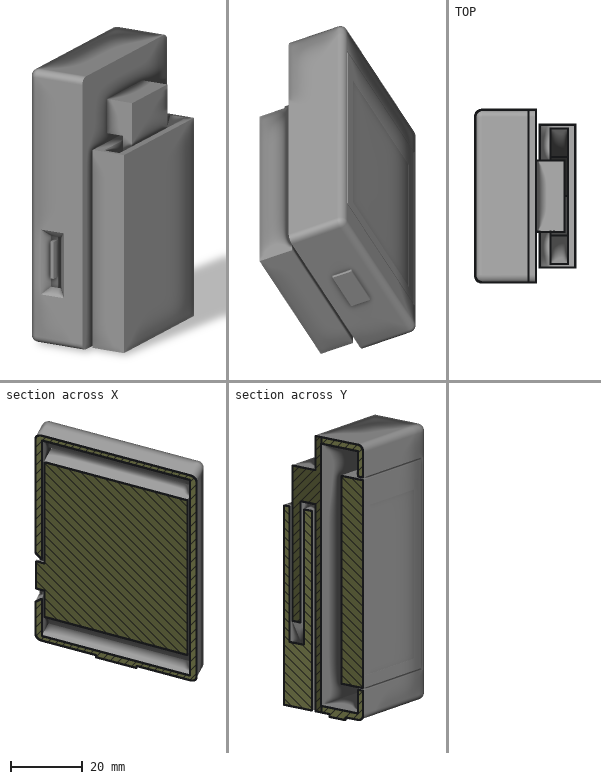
import cadquery as cq
import math


CASE_WIDTH = 48.3
CASE_HEIGHT = 79.95
HOUSING_DEPTH = 14.9
COVER_THICKNESS = 2.1
EDGE_RADIUS = 2.0
WALL = 2.0

WINDOW_BOTTOM = 8.9
WINDOW_TOP = 70.6

PANEL_GAP = 0.65
PANEL_BOTTOM = WINDOW_BOTTOM + PANEL_GAP
PANEL_TOP = WINDOW_TOP - PANEL_GAP
PANEL_DEPTH = 7.75
ACTIVE_WIDTH = 36.5
ACTIVE_BOTTOM = 13.0
ACTIVE_TOP = 62.0
ACTIVE_RECESS = 0.1
SOCKET_THICKNESS = 1.05
SOCKET_BOTTOM = 19.7
SOCKET_TOP = 30.5
SOCKET_REACH = 2.5

TAB_WIDTH = 12.3
TAB_FRONT = 6.2
TAB_BACK = 12.0
TAB_DROP = 0.8

OPENING_FRONT = 3.8
OPENING_BACK = 11.1
OPENING_BOTTOM = 14.6
OPENING_TOP = 33.6

HOOK_WIDTH = 20.0
HOOK_REACH = 8.0
HOOK_BOTTOM = 60.0
HOOK_TOP = 70.0
TONGUE_THICKNESS = 3.0
TONGUE_TIP = 16.15

HOLDER_GAP = 1.0
HOLDER_THICKNESS = 10.0
HOLDER_WIDTH = 40.0
HOLDER_HEIGHT = 58.0
POCKET_FRONT_WALL = 3.0
POCKET_THICKNESS = 5.0
FUNNEL_WIDTH = 37.8
SLOT_WIDTH = 22.0
SLOT_TIP = 10.0
SLOPE_ANGLE = 60.0

CASE_DEPTH = HOUSING_DEPTH + COVER_THICKNESS
CAVITY_WIDTH = CASE_WIDTH - 2 * WALL
PANEL_WIDTH = CAVITY_WIDTH - 2 * PANEL_GAP
HOLDER_FRONT = CASE_DEPTH + HOLDER_GAP
SLOPE = math.tan(math.radians(SLOPE_ANGLE))


def block(x_range, y_range, z_range):
    """Box between two limits along each axis."""
    size = [high - low for low, high in (x_range, y_range, z_range)]
    corner = (x_range[0], y_range[0], z_range[0])
    return cq.Workplane("XY").box(*size, centered=False).translate(corner)


def centred_block(x_range, width, z_range):
    """Box that is symmetric about the XZ plane."""
    return block(x_range, (-width / 2, width / 2), z_range)


def plate(outline, x_start, thickness):
    """Closed (y, z) outline extruded toward +X."""
    return cq.Workplane("YZ").polyline(outline).close().extrude(thickness).translate((x_start, 0, 0))


def bottom_tab():
    """Low rectangular tab on the outside of the bottom wall."""
    return centred_block((TAB_FRONT, TAB_BACK), TAB_WIDTH, (-TAB_DROP, WALL))


def side_opening():
    """Opening that narrows at 45 degrees through the whole -Y wall."""
    depth = OPENING_BACK - OPENING_FRONT
    height = OPENING_TOP - OPENING_BOTTOM
    return (
        cq.Workplane("XZ", origin=(0, -CASE_WIDTH / 2, 0))
        .center((OPENING_FRONT + OPENING_BACK) / 2, (OPENING_BOTTOM + OPENING_TOP) / 2)
        .rect(depth, height)
        .workplane(offset=-WALL)
        .rect(depth - 2 * WALL, height - 2 * WALL)
        .loft(ruled=True)
    )


def make_housing():
    """Rounded front shell, open at the back."""
    shell = centred_block((0, HOUSING_DEPTH), CASE_WIDTH, (0, CASE_HEIGHT))
    shell = shell.edges("|X or <X").fillet(EDGE_RADIUS)
    cavity = centred_block((WALL, HOUSING_DEPTH), CAVITY_WIDTH, (WALL, CASE_HEIGHT - WALL))
    window = centred_block((0, WALL), CAVITY_WIDTH, (WINDOW_BOTTOM, WINDOW_TOP))
    return shell.cut(cavity).cut(window).cut(side_opening()).union(bottom_tab())


def make_module():
    """Display panel with a thin socket that sticks out at the back of its -Y side."""
    panel = centred_block((0, PANEL_DEPTH), PANEL_WIDTH, (PANEL_BOTTOM, PANEL_TOP))
    active_area = centred_block((0, ACTIVE_RECESS), ACTIVE_WIDTH, (ACTIVE_BOTTOM, ACTIVE_TOP))
    socket = block(
        (PANEL_DEPTH - SOCKET_THICKNESS, PANEL_DEPTH),
        (-PANEL_WIDTH / 2 - SOCKET_REACH, -PANEL_WIDTH / 2),
        (SOCKET_BOTTOM, SOCKET_TOP),
    )
    return panel.cut(active_area).union(socket)


def make_cover():
    """Back plate with the hook whose pointed tongue hangs into the holder."""
    cover = centred_block((HOUSING_DEPTH, CASE_DEPTH), CASE_WIDTH, (0, CASE_HEIGHT))
    cover = cover.edges("|X").fillet(EDGE_RADIUS)
    hook_back = CASE_DEPTH + HOOK_REACH
    arm = centred_block((CASE_DEPTH, hook_back), HOOK_WIDTH, (HOOK_BOTTOM, HOOK_TOP))
    half = HOOK_WIDTH / 2
    shoulder = TONGUE_TIP + half * SLOPE
    tongue_outline = [
        (-half, HOOK_BOTTOM),
        (-half, shoulder),
        (0, TONGUE_TIP),
        (half, shoulder),
        (half, HOOK_BOTTOM),
    ]
    tongue = plate(tongue_outline, hook_back - TONGUE_THICKNESS, TONGUE_THICKNESS)
    return cover.union(arm).union(tongue)


def make_holder():
    """Block with a pocket: a funnel at the top, a straight slot and a pointed floor."""
    body = centred_block(
        (HOLDER_FRONT, HOLDER_FRONT + HOLDER_THICKNESS), HOLDER_WIDTH, (0, HOLDER_HEIGHT)
    )
    funnel_half = FUNNEL_WIDTH / 2
    slot_half = SLOT_WIDTH / 2
    throat = HOLDER_HEIGHT - (funnel_half - slot_half) * SLOPE
    shoulder = SLOT_TIP + slot_half * SLOPE
    pocket_outline = [
        (-funnel_half, HOLDER_HEIGHT),
        (-slot_half, throat),
        (-slot_half, shoulder),
        (0, SLOT_TIP),
        (slot_half, shoulder),
        (slot_half, throat),
        (funnel_half, HOLDER_HEIGHT),
    ]
    return body.cut(plate(pocket_outline, HOLDER_FRONT + POCKET_FRONT_WALL, POCKET_THICKNESS))


housing = make_housing()
module = make_module()
cover = make_cover()
holder = make_holder()

result = cq.Compound.makeCompound([housing.val(), module.val(), cover.val(), holder.val()])